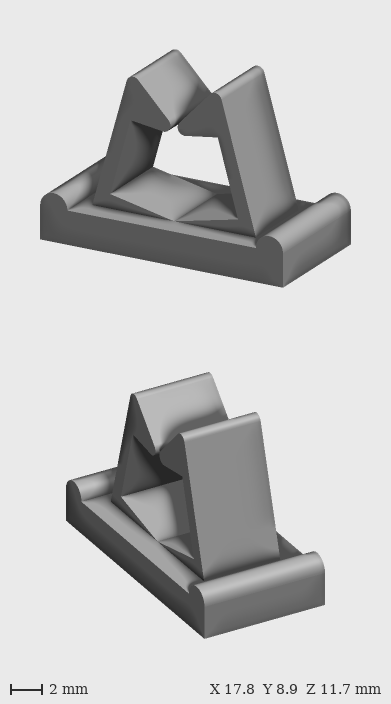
import cadquery as cq

length = 17.8
width = 8.9
film_thickness = 0.05
foam_thickness = 0.9
base_thickness = 1.39
bead_radius = 1.0

arm_width = 5.62
foot_outer = 6.0
foot_inner = 4.68
foot_height = 1.0
hook_root = 3.2
hook_root_height = 6.34
apex = 3.24
apex_height = 9.83
nose_overrun = 0.59
nose_height = 5.8
hook_radius = 0.5

foam_bottom = film_thickness
base_bottom = foam_bottom + foam_thickness
base_top = base_bottom + base_thickness


def layer(thickness, bottom):
    """Rectangular sheet covering the whole footprint."""
    sheet = cq.Workplane("XY").box(length, width, thickness, centered=(True, True, False))
    return sheet.translate((0, 0, bottom))


def edge_bead(side):
    """Round bead along one short end of the base."""
    center_x = side * (length / 2 - bead_radius)
    return (
        cq.Workplane("XZ")
        .center(center_x, base_top)
        .circle(bead_radius)
        .extrude(width / 2, both=True)
        .intersect(layer(base_thickness + bead_radius, base_bottom))
    )


def left_arm():
    """Leaning arm with a wedge foot and an inward hook, rounded at apex and nose."""
    outline = [
        (0, 0),
        (-foot_outer, 0),
        (-apex, apex_height),
        (nose_overrun, nose_height),
        (-hook_root, hook_root_height),
        (-foot_inner, foot_height),
    ]
    arm = cq.Workplane("XZ").polyline(outline).close().extrude(arm_width / 2, both=True)
    rounded_corners = cq.selectors.NearestToPointSelector((-apex, 0, apex_height)) + (
        cq.selectors.NearestToPointSelector((nose_overrun, 0, nose_height))
    )
    return arm.edges(rounded_corners).fillet(hook_radius).translate((0, 0, base_top))


def make_clip():
    """Base plate with end beads and two mirrored arms, as one molded body."""
    body = layer(base_thickness, base_bottom)
    for side in (-1, 1):
        body = body.union(edge_bead(side))
    arm = left_arm()
    return body.union(arm).union(arm.mirror("YZ"))


liner_film = layer(film_thickness, 0)
foam_pad = layer(foam_thickness, foam_bottom)
clip = make_clip()

result = cq.Compound.makeCompound([liner_film.val(), foam_pad.val(), clip.val()])